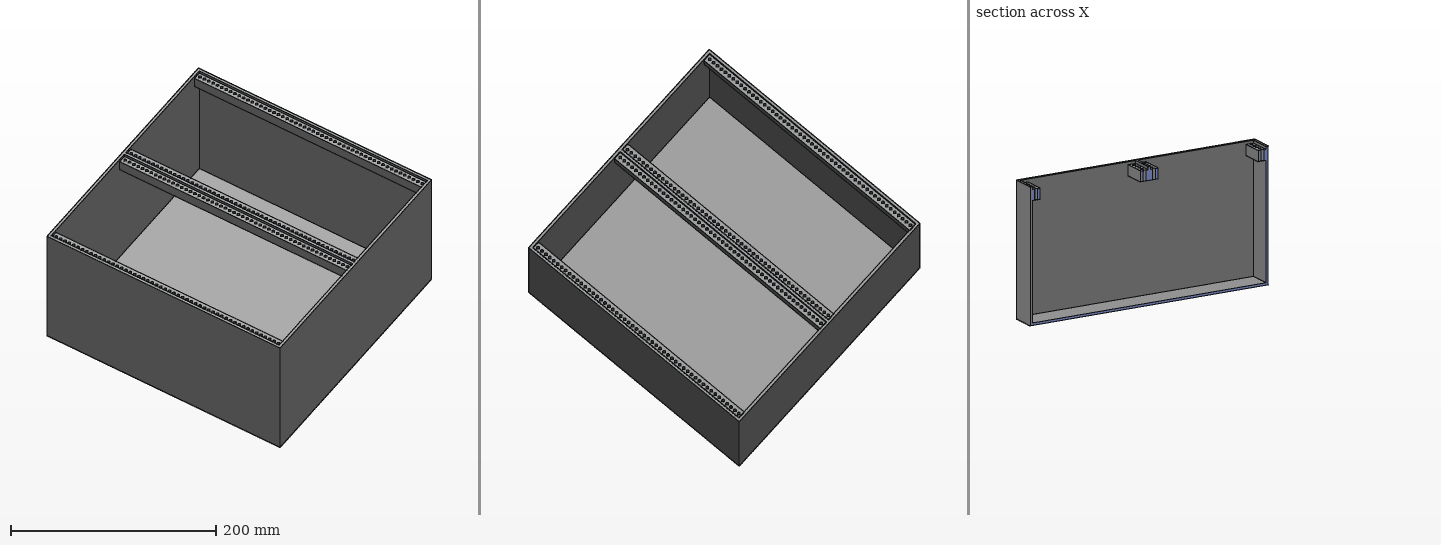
import cadquery as cq


length = 272.0
width = 269.0
height = 142.0
wall = 3.0
floor = wall

bay_length = length - 2 * wall
bay_width = (width - 3 * wall) / 2
bay_offset = (bay_width + wall) / 2

rail_width = 8.5
rail_height = 11.5
rail_recess = 3.0
rail_top = height - rail_recess
rail_bottom = rail_top - rail_height

hole_diameter = 2.7
hole_count = 52
hole_row_length = 259.0
hole_pitch = hole_row_length / (hole_count - 1)
hole_row_spacing = 122.4


def box_at(size_x, size_y, bottom, top, y=0.0):
    """Box centred in X, centred at y, between two heights."""
    return (
        cq.Workplane("XY", origin=(0, y, bottom))
        .rect(size_x, size_y)
        .extrude(top - bottom)
    )


def make_shell():
    """Outer case, open at the top, as one undivided cavity."""
    outer = box_at(length, width, 0, height)
    cavity = box_at(bay_length, width - 2 * wall, floor, height)
    return outer.cut(cavity)


def make_rail(bay_y, side):
    """Rail on the +Y (side = 1) or -Y (side = -1) edge of a bay, with its row of through holes."""
    rail_y = bay_y + side * (bay_width - rail_width) / 2
    row_y = bay_y + side * hole_row_spacing / 2
    rail = box_at(bay_length, rail_width, rail_bottom, rail_top, rail_y)
    holes = (
        cq.Workplane("XY", origin=(0, row_y, rail_bottom))
        .rarray(hole_pitch, 2.7, hole_count, 1)
        .circle(hole_diameter / 2)
        .extrude(rail_height)
    )
    return rail.cut(holes)


result = make_shell().union(box_at(bay_length, wall, rail_bottom, height))

for bay_y in (-bay_offset, bay_offset):
    for side in (-1, 1):
        result = result.union(make_rail(bay_y, side))